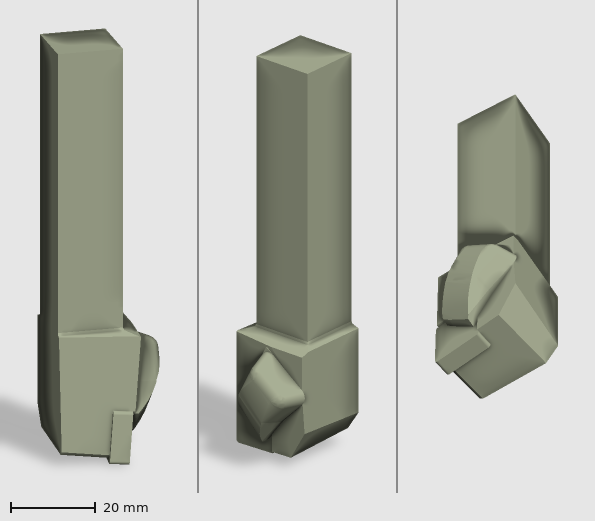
import cadquery as cq
import math

LENGTH = 101.6
SHANK = 16.0
SHANK_END_Z = 32.3

COLLAR_Z = 31.7
COLLAR_STEP = 0.3
SHOULDER_SLOPE = 17.0
SHOULDER_DEPTH = 2.0

HEAD_LEFT_X = -2.2
HEAD_HEIGHT = 20.5
PLAN_TAN = math.tan(math.radians(5.0))
RELIEF_TAN = math.tan(math.radians(6.0))
HEAD_CORNER_X = 19.5
HEAD_CORNER_Z = 2.7
BEVEL_TOP_Z = 9.3
BEVEL_SLOPE = 1.5
BEVEL_RISE = 1.0
TIP_FLAT = 1.0

RAKE_ANGLE = 7.2
FOLD_X_MINUS_Z = -22.9

TIP_X = 22.3
TIP_TOP_Y = 15.8
TIP_Z = -0.08
NOSE_ANGLE = 80.0
INSERT_SIDE = 12.9
INSERT_THICKNESS = 4.8
NOSE_RADIUS = 0.8
POCKET_CLEARANCE = 2.0

CLAMP_TAIL = [(-4.5, 20.3), (8.9, 30.0)]
CLAMP_RIGHT = [(15.0, 18.3), (18.0, 11.2)]
CLAMP_LEFT = [(10.7, 4.7), (4.6, 11.8)]
CLAMP_ROOT_Y = 16.3
CLAMP_TOP_Y = 26.8
CLAMP_DRAFT = 17.0
CLAMP_CORNER_RADIUS = 5.2 / 2
CLAMP_EDGE_RADIUS = 3.0
CLAMP_CREST = [(-12.2, CLAMP_TOP_Y), (-3.0, 25.0), (4.7, 19.3)]

MARGIN = 40.6

diagonal = cq.Vector(1, 0, -1).normalized()
rake = math.radians(RAKE_ANGLE)
rake_normal = cq.Vector(0, 1, 0) * math.cos(rake) + diagonal * math.sin(rake)
rake_inward = cq.Vector(0, 1, 0) * math.sin(rake) - diagonal * math.cos(rake)


def level(y):
    """Plane at height y whose local axes are X and Z, with its normal along -Y."""
    return cq.Workplane(cq.Plane((0, y, 0), (1, 0, 0), (0, -1, 0)))


def head_outline(y):
    """Corner points (x, z) of the head at height y, with both flanks leaning outward."""
    def right_x(z):
        return HEAD_CORNER_X + RELIEF_TAN * y - PLAN_TAN * (z - HEAD_CORNER_Z)

    def bottom_z(x):
        return HEAD_CORNER_Z - RELIEF_TAN * y - PLAN_TAN * (x - HEAD_CORNER_X)

    bevel_z = BEVEL_TOP_Z + BEVEL_RISE * y / HEAD_HEIGHT
    bevel_x = (bevel_z + BEVEL_SLOPE * HEAD_LEFT_X - bottom_z(0)) / (BEVEL_SLOPE - PLAN_TAN)
    lean = RELIEF_TAN * y / (1 - PLAN_TAN)
    corner_x = HEAD_CORNER_X + lean
    corner_z = HEAD_CORNER_Z - lean
    return [
        (HEAD_LEFT_X, COLLAR_Z),
        (HEAD_LEFT_X, bevel_z),
        (bevel_x, bottom_z(bevel_x)),
        (corner_x - TIP_FLAT, bottom_z(corner_x - TIP_FLAT)),
        (right_x(corner_z + TIP_FLAT), corner_z + TIP_FLAT),
        (right_x(COLLAR_Z), COLLAR_Z),
    ]


def make_shoulder_envelope():
    """Space below the collar: three shoulder slopes spreading from the collar rectangle."""
    width = SHANK + 2 * COLLAR_STEP
    depth = 2 * (SHANK + COLLAR_STEP)
    spread = 2 * SHOULDER_DEPTH / math.tan(math.radians(SHOULDER_SLOPE))
    slopes = (
        cq.Workplane("XY", origin=(SHANK / 2, 0, COLLAR_Z)).rect(width, depth)
        .workplane(offset=-SHOULDER_DEPTH).rect(width + spread, depth + spread).loft(ruled=True)
    )
    below = cq.Workplane("XY", origin=(SHANK / 2, 0, COLLAR_Z - SHOULDER_DEPTH))
    return slopes.union(below.rect(2 * MARGIN, 2 * MARGIN).extrude(-MARGIN))


def make_head_block():
    """Head with its flanks and shoulder, before the rake is cut."""
    upper = level(HEAD_HEIGHT).polyline(head_outline(HEAD_HEIGHT)).close()
    block = upper.workplane(offset=HEAD_HEIGHT).polyline(head_outline(0)).close().loft(ruled=True)
    return block.intersect(make_shoulder_envelope())


def cut_rake(block):
    """Remove the wedge above the sloping rake plane."""
    fold_point = (FOLD_X_MINUS_Z / 2, HEAD_HEIGHT, -FOLD_X_MINUS_Z / 2)
    above_rake = cq.Workplane(cq.Plane(fold_point, rake_inward, rake_normal))
    above_rake = above_rake.rect(4 * MARGIN, 4 * MARGIN).extrude(MARGIN)
    return block.cut(above_rake)


def make_shank():
    bar = cq.Workplane("XY", origin=(0, 0, COLLAR_Z)).rect(SHANK, SHANK, centered=False)
    bar = bar.extrude(LENGTH - COLLAR_Z)
    width = SHANK + 2 * COLLAR_STEP
    depth = SHANK + COLLAR_STEP
    flare_angle = math.degrees(math.atan(COLLAR_STEP / (SHANK_END_Z - COLLAR_Z)))
    flare = (
        cq.Workplane("XY", origin=(SHANK / 2, 0, COLLAR_Z)).rect(width, 2 * depth)
        .extrude(SHANK_END_Z - COLLAR_Z, taper=flare_angle)
    )
    above_base = cq.Workplane("XY").box(2 * MARGIN, MARGIN, LENGTH, centered=(True, False, False))
    return bar.union(flare.intersect(above_base))


def make_clamp():
    """Drafted hump above the head top, and the straight root below it, under one crest."""
    outline = CLAMP_TAIL + CLAMP_RIGHT + CLAMP_LEFT
    rise = CLAMP_TOP_Y - HEAD_HEIGHT
    hump = (
        cq.Workplane(cq.Plane((0, HEAD_HEIGHT, 0), (-1, 0, 0), (0, 1, 0)))
        .polyline([(-x, z) for x, z in outline]).close().extrude(rise, taper=CLAMP_DRAFT)
    )
    wall_edges = hump.edges("not(#Y)")
    walls_from_tail = sorted(wall_edges.vals(), key=lambda edge: edge.Center().dot(diagonal))
    hump = hump.newObject(walls_from_tail[:len(CLAMP_TAIL)]).fillet(CLAMP_CORNER_RADIUS)
    hump = hump.faces(">Y").edges().fillet(CLAMP_EDGE_RADIUS)
    start, middle, end = CLAMP_CREST
    crest = (
        cq.Workplane(cq.Plane((0, 0, 0), diagonal, diagonal.cross(cq.Vector(0, 1, 0))))
        .moveTo(-MARGIN, 0).lineTo(-MARGIN, CLAMP_TOP_Y).lineTo(*start)
        .threePointArc(middle, end).lineTo(end[0], 0).close()
        .extrude(MARGIN, both=True)
    )
    root = level(HEAD_HEIGHT).polyline(outline).close().extrude(HEAD_HEIGHT - CLAMP_ROOT_Y)
    return hump.intersect(crest), root.intersect(crest)


def make_insert(thickness_above=0.0):
    plane = cq.Plane((TIP_X, TIP_TOP_Y, TIP_Z), rake_inward, rake_normal)
    half = math.radians(NOSE_ANGLE / 2)
    along = INSERT_SIDE * math.cos(half)
    across = INSERT_SIDE * math.sin(half)
    return (
        cq.Workplane(plane).workplane(offset=-INSERT_THICKNESS)
        .polyline([(0, 0), (along, -across), (2 * along, 0), (along, across)]).close()
        .extrude(INSERT_THICKNESS + thickness_above)
        .edges(cq.selectors.ParallelDirSelector(rake_normal)).fillet(NOSE_RADIUS)
    )


def make_holder(insert):
    block = make_head_block()
    head = cut_rake(block)
    hump, root = make_clamp()
    pocketed = head.cut(make_insert(thickness_above=POCKET_CLEARANCE))
    return pocketed.union(make_shank()).union(hump).union(root.intersect(block)).cut(insert)


insert = make_insert()
holder = make_holder(insert)
result = cq.Compound.makeCompound([*holder.vals(), insert.val()])